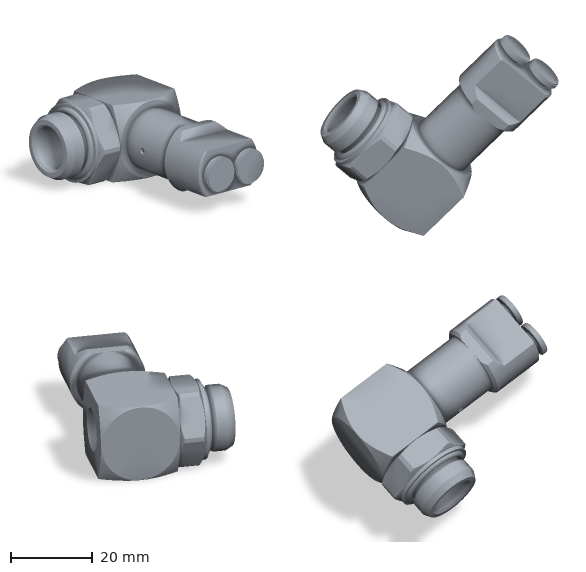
import cadquery as cq
import math


OVERALL_X = 53.85
OVERALL_Y = 34.5

CLEARANCE = 0.55

BLOCK_SIZE = 20.0
BLOCK_HALF_LENGTH = 10.25
BLOCK_FACE_RADIUS = 9.85
BLOCK_BEVEL_ANGLE = 35.0

HEX_LENGTH = 6.6
HEX_HALF_CORNERS = 11.2
HEX_FACE_RADIUS = 9.75
HEX_BEVEL_ANGLE = 30.0
HEX_SIDES = 6

HEX_START = BLOCK_SIZE / 2
FLANGE_START = HEX_START + HEX_LENGTH
FLANGE_LENGTH = 0.9
FLANGE_END = FLANGE_START + FLANGE_LENGTH
FLANGE_RADIUS = BLOCK_SIZE / 2
NECK_END = 18.7
STUD_FULL_START = 19.65
STUD_FULL_END = 22.7
STUD_END = OVERALL_Y - BLOCK_SIZE / 2
STUD_RADIUS = 8.25
NECK_RADIUS = 7.25
SEAL_TUBE_RADIUS = 0.9
SEAL_PROTRUSION = 0.85

BORE_RADIUS = 5.5
BORE_CHAMFER = 0.55

ARM_RADIUS = 7.9
VENT_X = 16.25
VENT_RADIUS = 0.8
VENT_DEPTH = 0.8

HEAD_START = 25.9
HEAD_END = 39.9
HEAD_RADIUS = 9.55
HEAD_INNER_CHAMFER = 0.75
HEAD_OUTER_CHAMFER = 0.4
HEAD_FLAT = 5.9
SLOPE_START = 28.5
SLOPE_END = 30.25

PORT_OFFSET = 4.75
COLLAR_END = OVERALL_X - HEX_HALF_CORNERS
COLLAR_STEPS = [
    (40.05, 3.55),
    (41.25, 2.7),
    (42.3, 4.4),
    (COLLAR_END, 4.2),
]


def revolve_about_x(profile):
    """Turn a closed (x, radius) profile about the X axis."""
    return cq.Workplane("XY").polyline(profile).close().revolve(360, (0, 0, 0), (1, 0, 0))


def revolve_about_y(profile):
    """Turn a closed (radius, distance) profile about Y, the distance running toward -Y."""
    points = [(radius, -distance) for radius, distance in profile]
    return cq.Workplane("XY").polyline(points).close().revolve(360, (0, 0, 0), (0, 1, 0))


def bevel_profile(start, end, face_radius, outer_radius, angle):
    """Half section (position, radius) of a cylinder with conical bevels on both ends."""
    depth = (outer_radius - face_radius) * math.tan(math.radians(angle))
    return [
        (start, 0),
        (start, face_radius),
        (start + depth, outer_radius),
        (end - depth, outer_radius),
        (end, face_radius),
        (end, 0),
    ]


def make_block():
    box = cq.Workplane("XY").box(2 * BLOCK_HALF_LENGTH, BLOCK_SIZE, BLOCK_SIZE)
    clear_radius = BLOCK_SIZE / math.sqrt(2) + CLEARANCE
    bevel = bevel_profile(
        -BLOCK_HALF_LENGTH, BLOCK_HALF_LENGTH, BLOCK_FACE_RADIUS, clear_radius, BLOCK_BEVEL_ANGLE
    )
    return box.intersect(revolve_about_x(bevel))


def hexagonal_bar(across_flats, rotation):
    """Hexagonal bar of the collar's length, turned about its axis by the given angle."""
    across_corners = across_flats / math.cos(math.pi / HEX_SIDES)
    bar = (
        cq.Workplane("XZ", origin=(0, -HEX_START, 0))
        .polygon(HEX_SIDES, across_corners)
        .extrude(HEX_LENGTH)
    )
    return bar.rotate((0, 0, 0), (0, 1, 0), rotation)


def make_hex_collar():
    flats = hexagonal_bar(BLOCK_SIZE, 0)
    corner_trim = hexagonal_bar(2 * HEX_HALF_CORNERS, 180 / HEX_SIDES)
    clear_radius = BLOCK_SIZE / math.sqrt(3) + CLEARANCE
    bevel = bevel_profile(HEX_START, FLANGE_START, HEX_FACE_RADIUS, clear_radius, HEX_BEVEL_ANGLE)
    envelope = revolve_about_y([(radius, distance) for distance, radius in bevel])
    return flats.intersect(corner_trim).intersect(envelope)


def make_stud():
    return revolve_about_y([
        (0, FLANGE_START),
        (FLANGE_RADIUS, FLANGE_START),
        (FLANGE_RADIUS, FLANGE_END),
        (NECK_RADIUS, FLANGE_END),
        (NECK_RADIUS, NECK_END),
        (STUD_RADIUS, STUD_FULL_START),
        (STUD_RADIUS, STUD_FULL_END),
        (NECK_RADIUS, STUD_END),
        (0, STUD_END),
    ])


def make_seal_ring():
    ring_radius = NECK_RADIUS + SEAL_TUBE_RADIUS
    ring_y = -(FLANGE_END + SEAL_PROTRUSION - SEAL_TUBE_RADIUS)
    return (
        cq.Workplane("XY")
        .center(ring_radius, ring_y)
        .circle(SEAL_TUBE_RADIUS)
        .revolve(360, (-ring_radius, 0, 0), (-ring_radius, 1, 0))
    )


def make_bore():
    """Through bore with a chamfered mouth at the stud end."""
    return revolve_about_y([
        (0, -BLOCK_SIZE / 2),
        (BORE_RADIUS, -BLOCK_SIZE / 2),
        (BORE_RADIUS, STUD_END - BORE_CHAMFER),
        (BORE_RADIUS + BORE_CHAMFER, STUD_END),
        (0, STUD_END),
    ])


def make_arm():
    return (
        cq.Workplane("YZ", origin=(BLOCK_HALF_LENGTH, 0, 0))
        .circle(ARM_RADIUS)
        .extrude(HEAD_START - BLOCK_HALF_LENGTH)
    )


def make_vent():
    """Small blind hole entering the -Y side of the arm."""
    return (
        cq.Workplane("XZ", origin=(VENT_X, VENT_DEPTH - ARM_RADIUS, 0))
        .circle(VENT_RADIUS)
        .extrude(ARM_RADIUS)
    )


def make_head():
    barrel = revolve_about_x([
        (HEAD_START, 0),
        (HEAD_START, HEAD_RADIUS - HEAD_INNER_CHAMFER),
        (HEAD_START + HEAD_INNER_CHAMFER, HEAD_RADIUS),
        (HEAD_END - HEAD_OUTER_CHAMFER, HEAD_RADIUS),
        (HEAD_END, HEAD_RADIUS - HEAD_OUTER_CHAMFER),
        (HEAD_END, 0),
    ])
    upper_outline = [
        (HEAD_START, ARM_RADIUS),
        (SLOPE_START, ARM_RADIUS),
        (SLOPE_END, HEAD_FLAT),
        (HEAD_END, HEAD_FLAT),
    ]
    lower_outline = [(x, -z) for x, z in reversed(upper_outline)]
    slab = (
        cq.Workplane("XZ")
        .polyline(upper_outline + lower_outline)
        .close()
        .extrude(HEAD_RADIUS, both=True)
    )
    return barrel.intersect(slab)


def make_collar(port_y):
    profile = [(HEAD_END, 0)]
    start = HEAD_END
    for end, radius in COLLAR_STEPS:
        profile += [(start, radius), (end, radius)]
        start = end
    profile.append((COLLAR_END, 0))
    return revolve_about_x(profile).translate((0, port_y, 0))


result = (
    make_block()
    .union(make_hex_collar())
    .union(make_stud())
    .union(make_seal_ring())
    .union(make_arm())
    .union(make_head())
)
for side in (-1, 1):
    result = result.union(make_collar(side * PORT_OFFSET))
result = result.cut(make_bore()).cut(make_vent())